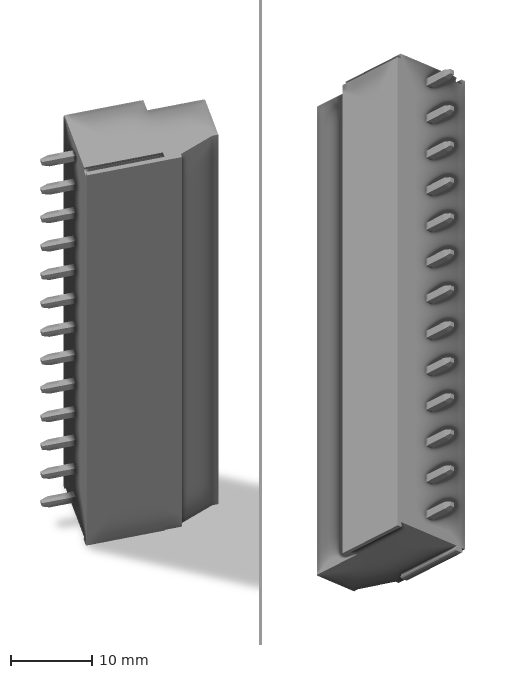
import cadquery as cq

WIDTH = 11.2
TOTAL_HEIGHT = 65.65
RAIL_DEPTH = 0.65
BODY_HEIGHT = TOTAL_HEIGHT - RAIL_DEPTH
BASE_DEPTH = 10.05
BODY_DEPTH = 17.4
TOTAL_DEPTH = 21.6

STEP_WIDTH = 2.35
CROWN_RIGHT = 8.65
SLOPE_TOP = 16.6
SLOPE_RIGHT = 10.7
SHOULDER_DEPTH = 12.1
CROWN_BEVEL = 0.1

EDGE_RAIL_ROOT = 0.5
RAIL_FLARE = 0.2
RAIL_CENTRE = 10.25
RAIL_ROOT_HALF = 0.4
RAIL_BEVEL = 0.1

PIN_COUNT = 13
PIN_PITCH = BODY_HEIGHT / PIN_COUNT
PIN_SIZE = 1.0
PIN_LEFT_FACE = 4.7
PIN_X = PIN_LEFT_FACE + PIN_SIZE / 2
PIN_TIP_SIZE = 0.6
PIN_LENGTH = TOTAL_DEPTH - BODY_DEPTH
PIN_TAPER_LENGTH = 0.9

BODY_TOP = TOTAL_HEIGHT
BODY_BOTTOM = RAIL_DEPTH


def make_housing():
    return (
        cq.Workplane("XY", origin=(0, 0, BODY_BOTTOM))
        .moveTo(0, 0)
        .lineTo(WIDTH, 0)
        .lineTo(WIDTH, SHOULDER_DEPTH)
        .lineTo(SLOPE_RIGHT, SHOULDER_DEPTH)
        .lineTo(CROWN_RIGHT, SLOPE_TOP)
        .lineTo(CROWN_RIGHT, BODY_DEPTH)
        .lineTo(STEP_WIDTH + CROWN_BEVEL, BODY_DEPTH)
        .lineTo(STEP_WIDTH, BODY_DEPTH - CROWN_BEVEL)
        .lineTo(STEP_WIDTH, BASE_DEPTH)
        .lineTo(0, BASE_DEPTH)
        .close()
        .extrude(BODY_HEIGHT)
    )


def make_rails(root_z):
    """Both dovetail prisms, hanging down from root_z and widening downwards to bevelled lower edges."""
    end_z = root_z - RAIL_DEPTH
    flare_z = end_z + RAIL_BEVEL
    edge_flare = EDGE_RAIL_ROOT + RAIL_FLARE
    inner_flare_half = RAIL_ROOT_HALF + RAIL_FLARE
    edge_outline = [
        (0, root_z),
        (EDGE_RAIL_ROOT, root_z),
        (edge_flare, flare_z),
        (edge_flare - RAIL_BEVEL, end_z),
        (0, end_z),
    ]
    inner_outline = [
        (RAIL_CENTRE - RAIL_ROOT_HALF, root_z),
        (RAIL_CENTRE + RAIL_ROOT_HALF, root_z),
        (RAIL_CENTRE + inner_flare_half, flare_z),
        (RAIL_CENTRE + inner_flare_half - RAIL_BEVEL, end_z),
        (RAIL_CENTRE - inner_flare_half + RAIL_BEVEL, end_z),
        (RAIL_CENTRE - inner_flare_half, flare_z),
    ]
    plane = cq.Workplane("XZ")
    edge_rail = plane.polyline(edge_outline).close().extrude(-BASE_DEPTH)
    inner_rail = plane.polyline(inner_outline).close().extrude(-BASE_DEPTH)
    return edge_rail.add(inner_rail).combine()


def make_pin(z):
    """Square pin pointing along -Y, with a tapered tip."""
    shank_length = PIN_LENGTH - PIN_TAPER_LENGTH
    shank = cq.Workplane("XZ", origin=(PIN_X, 0, z)).rect(PIN_SIZE, PIN_SIZE).extrude(shank_length)
    return (
        shank.faces("<Y")
        .workplane()
        .rect(PIN_SIZE, PIN_SIZE)
        .workplane(offset=PIN_TAPER_LENGTH)
        .rect(PIN_TIP_SIZE, PIN_TIP_SIZE)
        .loft(combine=True)
    )


result = make_housing().cut(make_rails(BODY_TOP)).union(make_rails(BODY_BOTTOM))
for index in range(PIN_COUNT):
    result = result.union(make_pin(BODY_BOTTOM + (index + 0.5) * PIN_PITCH))